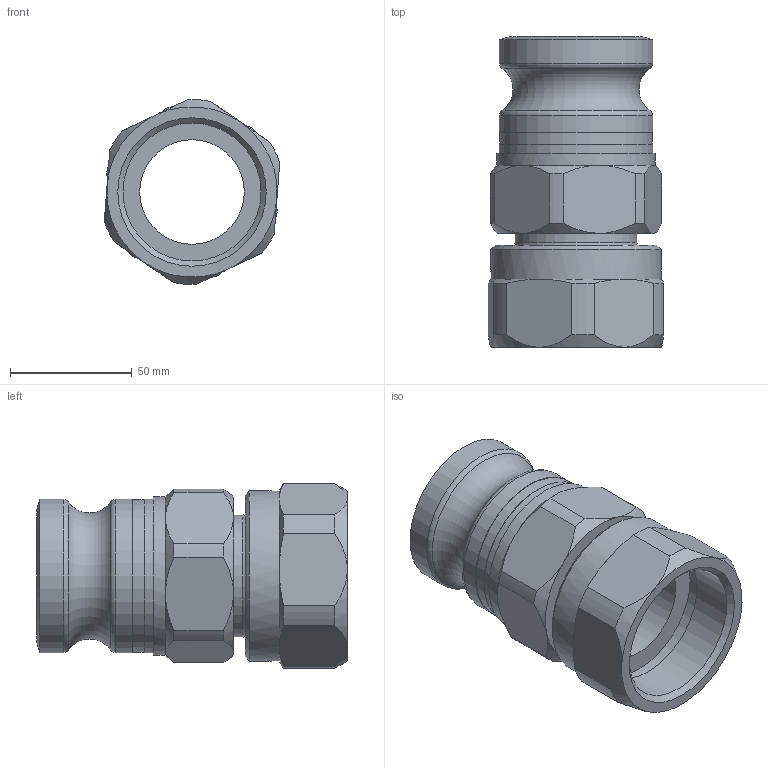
import math

import cadquery as cq


hex_sides = 6

socket_across_flats = 70.0
socket_corner_diameter = 76.0
socket_hex_length = 28.0
socket_corner_angle = 25.57
socket_front_bevel_angle = 60.0
socket_back_bevel_angle = 30.0

flange_diameter = 70.0
flange_length = 14.0
flange_chamfer = 1.75

neck_diameter = 50.0
neck_foot_diameter = 50.5
neck_foot_length = 1.0
neck_length = 4.8

nut_across_flats = 65.0
nut_corner_diameter = 72.0
nut_length = 28.0
nut_corner_angle = 43.0
nut_front_bevel_angle = 50.0
nut_back_bevel_angle = 45.0

collar_diameter = 65.0
collar_length = 4.9
cam_diameter = 63.0
rear_land_length = 3.8
band_diameter = 62.5
band_length = 4.9
overall_length = 127.7
end_bevel_length = 1.25
end_bevel_angle = 15.0

groove_y = 105.95
groove_diameter = 51.7
groove_radius = 10.5
groove_lip_radius = 2.5

bore_diameter = 43.0
mouth_diameter = 61.0
thread_diameter = 56.66
mouth_chamfer_angle = 45.0
relief_diameter = 59.6
relief_length = 5.5
recess_depth = 25.0

flange_end = socket_hex_length + flange_length
nut_start = flange_end + neck_length
nut_end = nut_start + nut_length
collar_end = nut_end + collar_length
rear_land_end = collar_end + rear_land_length
band_end = rear_land_end + band_length


def tan_deg(angle):
    return math.tan(math.radians(angle))


def polar(radius, angle):
    """Offsets of a point on a circle: along the radius first, along Y second."""
    return radius * math.cos(angle), radius * math.sin(angle)


def revolve_profile(profile):
    """Close a (radius, Y) profile and spin it about the Y axis."""
    return profile.close().revolve(360, (0, 0, 0), (0, 1, 0))


def revolve_points(points):
    return revolve_profile(cq.Workplane("XY").polyline(points))


def beveled_hex(start, length, across_flats, corner_diameter, corner_angle, front_angle, back_angle):
    """Hexagon with rounded corners, turned down at both ends to the across-flats circle."""
    end = start + length
    flat_radius = across_flats / 2
    corner_radius = corner_diameter / 2
    corner_rise = corner_radius - flat_radius
    turned = revolve_points([
        (0, start),
        (flat_radius, start),
        (corner_radius, start + corner_rise * tan_deg(front_angle)),
        (corner_radius, end - corner_rise * tan_deg(back_angle)),
        (flat_radius, end),
        (0, end),
    ])
    sharp_corner_diameter = across_flats / math.cos(math.pi / hex_sides)
    prism = (
        cq.Workplane("XZ", origin=(0, start, 0))
        .polygon(hex_sides, sharp_corner_diameter)
        .extrude(-length)
        .rotate((0, 0, 0), (0, 1, 0), -corner_angle)
    )
    return turned.intersect(prism)


def flange_and_neck():
    """Chamfered flange, then the neck with its slightly tapered foot."""
    flange_radius = flange_diameter / 2
    return revolve_points([
        (0, socket_hex_length),
        (flange_radius, socket_hex_length),
        (flange_radius, flange_end - flange_chamfer),
        (flange_radius - flange_chamfer, flange_end),
        (neck_foot_diameter / 2, flange_end),
        (neck_diameter / 2, flange_end + neck_foot_length),
        (neck_diameter / 2, nut_start),
        (0, nut_start),
    ])


def cam_barrel():
    """Stepped barrel with the cam groove, whose lips are tangent to its floor arc."""
    cam_radius = cam_diameter / 2
    groove_center_radius = groove_diameter / 2 + groove_radius
    lip_center_radius = cam_radius - groove_lip_radius
    center_distance = groove_radius + groove_lip_radius
    radial_gap = groove_center_radius - lip_center_radius
    lip_offset = math.sqrt(center_distance**2 - radial_gap**2)
    sweep = math.atan2(lip_offset, radial_gap)

    lip_mid_out, lip_mid_in = polar(groove_lip_radius, sweep / 2)
    lip_end_out, lip_end_in = polar(groove_lip_radius, sweep)
    lip_start_y = groove_y - lip_offset
    lip_end_y = groove_y + lip_offset
    end_face_radius = cam_radius - end_bevel_length / tan_deg(end_bevel_angle)

    profile = (
        cq.Workplane("XY")
        .moveTo(0, nut_end)
        .lineTo(collar_diameter / 2, nut_end)
        .lineTo(collar_diameter / 2, collar_end)
        .lineTo(cam_radius, collar_end)
        .lineTo(cam_radius, rear_land_end)
        .lineTo(band_diameter / 2, rear_land_end)
        .lineTo(band_diameter / 2, band_end)
        .lineTo(cam_radius, band_end)
        .lineTo(cam_radius, lip_start_y)
        .threePointArc(
            (lip_center_radius + lip_mid_out, lip_start_y + lip_mid_in),
            (lip_center_radius + lip_end_out, lip_start_y + lip_end_in),
        )
        .threePointArc(
            (groove_diameter / 2, groove_y),
            (lip_center_radius + lip_end_out, lip_end_y - lip_end_in),
        )
        .threePointArc(
            (lip_center_radius + lip_mid_out, lip_end_y - lip_mid_in),
            (cam_radius, lip_end_y),
        )
        .lineTo(cam_radius, overall_length - end_bevel_length)
        .lineTo(end_face_radius, overall_length)
        .lineTo(0, overall_length)
    )
    return revolve_profile(profile)


def inner_cavity():
    """Chamfered socket recess with a relief at its floor, and the through bore."""
    mouth_chamfer_depth = (mouth_diameter - thread_diameter) / 2 / tan_deg(mouth_chamfer_angle)
    relief_start = recess_depth - relief_length
    return revolve_points([
        (0, 0),
        (mouth_diameter / 2, 0),
        (thread_diameter / 2, mouth_chamfer_depth),
        (thread_diameter / 2, relief_start),
        (relief_diameter / 2, relief_start),
        (relief_diameter / 2, recess_depth),
        (bore_diameter / 2, recess_depth),
        (bore_diameter / 2, overall_length),
        (0, overall_length),
    ])


socket_hex = beveled_hex(
    0,
    socket_hex_length,
    socket_across_flats,
    socket_corner_diameter,
    socket_corner_angle,
    socket_front_bevel_angle,
    socket_back_bevel_angle,
)
nut = beveled_hex(
    nut_start,
    nut_length,
    nut_across_flats,
    nut_corner_diameter,
    nut_corner_angle,
    nut_front_bevel_angle,
    nut_back_bevel_angle,
)
body = socket_hex.union(flange_and_neck()).union(nut).union(cam_barrel())
result = body.cut(inner_cavity())